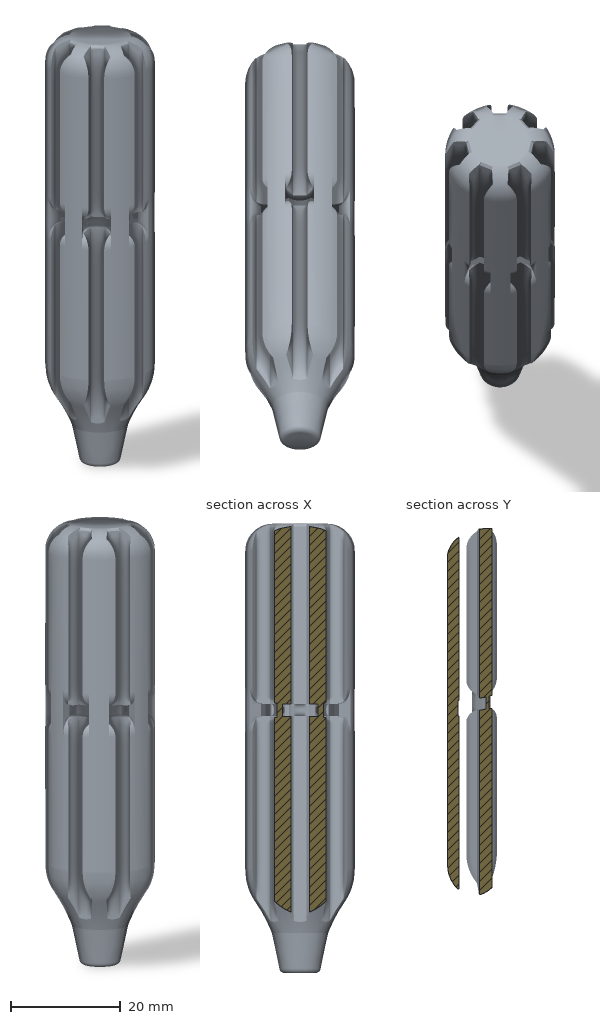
import cadquery as cq
import math

total_height = 82.0
body_radius = 10.0
top_round = 5.0

shoulder_top_z = 18.9
shoulder_arc_radius = 10.5
shoulder_arc_angle = math.radians(35.0)
tip_top_z = 7.3
tip_top_radius = 5.15
tip_bottom_radius = 3.6
tip_round = 1.0

slot_count = 7
slot_pitch = 360.0 / slot_count
slot_axis_radius = 8.15
slot_across_flats = 4.25
hexagon_half_sector = 30.0
slot_floor_radius = slot_axis_radius - slot_across_flats / 2
slot_corner_diameter = slot_across_flats / math.cos(math.radians(hexagon_half_sector))
slot_floor_width = slot_corner_diameter / 2
slot_floor_chamfer = 0.5

window_mid_z = 48.0
window_half_height = 1.1
window_lip_round = 2.9
window_outer_half_height = window_half_height + window_lip_round
window_round_radius = 2.64
window_round_center = 6.9
channel_inner_radius = 5.5
channel_outer_radius = 7.5


def at_each(solid):
    """Copies of a solid around Z, one per slot pitch, joined in one workplane."""
    copies = cq.Workplane("XY")
    for i in range(slot_count):
        turned = solid.rotate((0, 0, 0), (0, 0, 1), i * slot_pitch)
        copies = copies.add(turned.vals())
    return copies.combine()


def make_body():
    """Revolved outline of the part without slots."""
    neck_top_radius = body_radius - shoulder_arc_radius * (1 - math.cos(shoulder_arc_angle))
    neck_top_z = shoulder_top_z - shoulder_arc_radius * math.sin(shoulder_arc_angle)
    body = (
        cq.Workplane("XZ")
        .moveTo(0, total_height)
        .lineTo(body_radius - top_round, total_height)
        .tangentArcPoint((body_radius, total_height - top_round), relative=False)
        .lineTo(body_radius, shoulder_top_z)
        .tangentArcPoint((neck_top_radius, neck_top_z), relative=False)
        .tangentArcPoint((tip_top_radius, tip_top_z), relative=False)
        .lineTo(tip_bottom_radius, 0)
        .lineTo(0, 0)
        .close()
        .revolve(360, (0, 0, 0), (0, 1, 0))
    )
    return body.faces("<Z").edges().fillet(tip_round)


def make_slot():
    """Hexagonal prism on the +X side with a flat facing the axis, plus its top floor chamfer."""
    prism = (
        cq.Workplane("XY")
        .polygon(6, slot_corner_diameter)
        .extrude(total_height)
        .rotate((0, 0, 0), (0, 0, 1), hexagon_half_sector)
        .translate((slot_axis_radius, 0, 0))
    )
    chamfer = (
        cq.Workplane("XZ")
        .moveTo(slot_floor_radius - slot_floor_chamfer, total_height)
        .lineTo(slot_floor_radius, total_height)
        .lineTo(slot_floor_radius, total_height - slot_floor_chamfer)
        .close()
        .extrude(slot_floor_width / 2, both=True)
    )
    return prism.union(chamfer)


def make_window_band():
    """Flat band around Z that flares out to the body surface over rounded lips."""
    lip_start_radius = body_radius - window_lip_round
    lip_mid = window_lip_round * math.sqrt(0.5)
    arc_radius = lip_start_radius + lip_mid
    arc_half_height = window_outer_half_height - lip_mid
    return (
        cq.Workplane("XZ")
        .moveTo(0, window_half_height)
        .lineTo(lip_start_radius, window_half_height)
        .threePointArc((arc_radius, arc_half_height), (body_radius, window_outer_half_height))
        .lineTo(body_radius, -window_outer_half_height)
        .threePointArc((arc_radius, -arc_half_height), (lip_start_radius, -window_half_height))
        .lineTo(0, -window_half_height)
        .close()
        .revolve(360, (0, 0, 0), (0, 1, 0))
    )


def make_window():
    """Window on the +X side: parallel flanks ending in a half-round towards the axis."""
    outline = (
        cq.Workplane("XY")
        .moveTo(body_radius, window_round_radius)
        .lineTo(window_round_center, window_round_radius)
        .threePointArc(
            (window_round_center - window_round_radius, 0),
            (window_round_center, -window_round_radius),
        )
        .lineTo(body_radius, -window_round_radius)
        .close()
        .extrude(window_outer_half_height, both=True)
    )
    return outline.intersect(make_window_band())


def make_windows():
    """All windows together with the ring channel that links them."""
    channel = (
        cq.Workplane("XY")
        .circle(channel_outer_radius)
        .circle(channel_inner_radius)
        .extrude(window_half_height, both=True)
    )
    windows = channel.union(at_each(make_window()))
    return windows.translate((0, 0, window_mid_z))


result = make_body().cut(at_each(make_slot())).cut(make_windows())